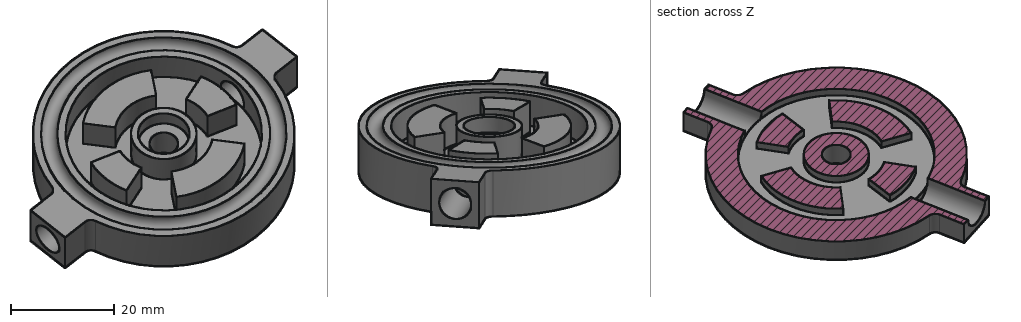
import cadquery as cq
import math

length = 63.5
height = 9.5
body_radius = 25.4
tab_width = 9.5
tab_fillet = 1.6

chamber_radius = 19.05
floor_height = 3.2
groove_center_radius = 22.2
groove_radius = 1.6

hub_radius = 6.35
hub_top = height
hub_bore_diameter = 10.0
hub_bore_floor = 6.35
center_hole_diameter = 5.5

block_inner_radius = 9.5
block_outer_radius = 15.9
block_top = height
wide_block_angle = 72.0
narrow_block_angle = 36.0

port_diameter = 6.35


def polar(radius, degrees):
    angle = math.radians(degrees)
    return (radius * math.cos(angle), radius * math.sin(angle))


def make_body():
    disc = cq.Workplane("XY").circle(body_radius).extrude(height)
    tabs = cq.Workplane("XY").rect(tab_width, length).extrude(height)
    inside_corners = cq.selectors.BoxSelector(
        (-tab_width, -body_radius, 0), (tab_width, body_radius, height)
    )
    return disc.union(tabs).edges("|Z").edges(inside_corners).fillet(tab_fillet)


def make_chamber():
    return (
        cq.Workplane("XY")
        .workplane(offset=floor_height)
        .circle(chamber_radius)
        .extrude(height - floor_height)
    )


def make_groove():
    return (
        cq.Workplane("XZ")
        .center(groove_center_radius, height)
        .circle(groove_radius)
        .revolve(360, (-groove_center_radius, 0), (-groove_center_radius, 1))
    )


def make_ports():
    bore = (
        cq.Workplane("XZ", origin=(0, length / 2, height / 2))
        .circle(port_diameter / 2)
        .extrude(length)
    )
    chamber_core = cq.Workplane("XY").circle(chamber_radius).extrude(height)
    return bore.cut(chamber_core)


def make_block(middle_angle, span):
    start = middle_angle - span / 2
    end = middle_angle + span / 2
    return (
        cq.Workplane("XY")
        .moveTo(*polar(block_inner_radius, start))
        .lineTo(*polar(block_outer_radius, start))
        .threePointArc(polar(block_outer_radius, middle_angle), polar(block_outer_radius, end))
        .lineTo(*polar(block_inner_radius, end))
        .threePointArc(polar(block_inner_radius, middle_angle), polar(block_inner_radius, start))
        .close()
        .extrude(block_top)
    )


def make_hub():
    return cq.Workplane("XY").circle(hub_radius).extrude(hub_top)


def make_hub_bores():
    through_hole = cq.Workplane("XY").circle(center_hole_diameter / 2).extrude(height)
    counterbore = (
        cq.Workplane("XY")
        .workplane(offset=hub_bore_floor)
        .circle(hub_bore_diameter / 2)
        .extrude(height - hub_bore_floor)
    )
    return through_hole.union(counterbore)


result = make_body().cut(make_chamber()).cut(make_groove()).cut(make_ports())
for middle_angle in (0, 180):
    result = result.union(make_block(middle_angle, wide_block_angle))
for middle_angle in (90, 270):
    result = result.union(make_block(middle_angle, narrow_block_angle))
result = result.union(make_hub()).cut(make_hub_bores())